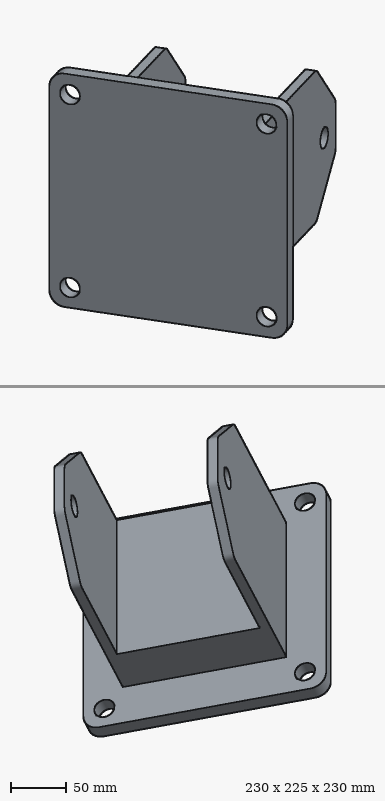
import cadquery as cq

plate_side = 230.0
plate_thickness = 15.0
plate_corner_radius = 15.0
bolt_hole_diameter = 19.0
bolt_edge_distance = 20.0

total_depth = 225.0
clevis_width = 155.0
clevis_height = 150.0
arm_thickness = 10.0
block_depth = 50.0
tip_chamfer = 50.0
arm_corner_radius = 10.0
pin_hole_diameter = 20.0
pin_tip_distance = 30.0

bolt_spacing = plate_side - 2 * bolt_edge_distance
slot_width = clevis_width - 2 * arm_thickness
slot_start = plate_thickness + block_depth
slot_depth = total_depth - slot_start
clevis_depth = total_depth - plate_thickness


def make_plate():
    """Square plate with rounded corners and a bolt hole near each corner."""
    plate = (
        cq.Workplane("XZ")
        .rect(plate_side, plate_side)
        .extrude(-plate_thickness)
        .edges("|Y")
        .fillet(plate_corner_radius)
    )
    bolt_holes = (
        cq.Workplane("XZ")
        .rect(bolt_spacing, bolt_spacing, forConstruction=True)
        .vertices()
        .circle(bolt_hole_diameter / 2)
        .extrude(-plate_thickness)
    )
    return plate.cut(bolt_holes)


def make_clevis():
    """Block with tapered, rounded arm tips, a slot between the arms and a pin hole."""
    body = (
        cq.Workplane("XY")
        .box(clevis_width, clevis_depth, clevis_height, centered=(True, False, True))
        .translate((0, plate_thickness, 0))
        .edges("|X and >Y")
        .chamfer(tip_chamfer)
    )
    body = body.edges("|X").edges("not <Y").fillet(arm_corner_radius)
    slot = (
        cq.Workplane("XY")
        .box(slot_width, slot_depth, clevis_height, centered=(True, False, True))
        .translate((0, slot_start, 0))
    )
    pin_hole = (
        cq.Workplane("YZ")
        .center(total_depth - pin_tip_distance, 0)
        .circle(pin_hole_diameter / 2)
        .extrude(clevis_width / 2, both=True)
    )
    return body.cut(slot).cut(pin_hole)


result = make_plate().union(make_clevis())